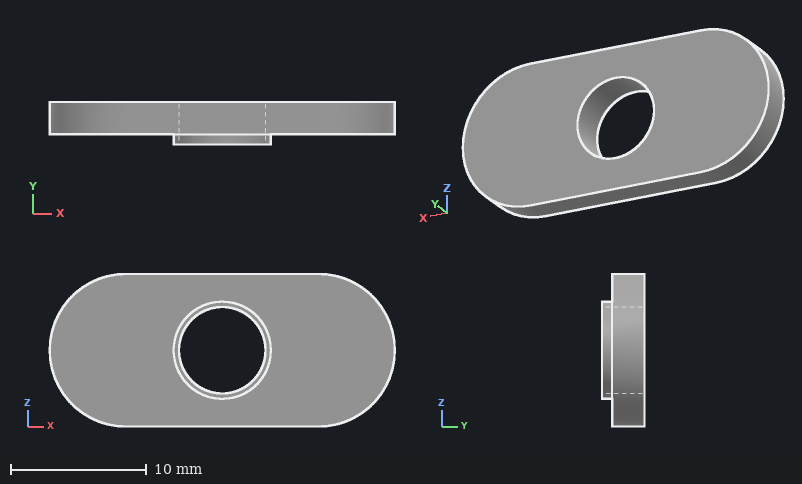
import cadquery as cq

plate_length = 25.4
plate_height = 11.25
total_depth = 3.15
plate_thickness = 2.4

collar_diameter = 7.15
bore_diameter = 6.35
collar_height = total_depth - plate_thickness


def make_plate():
    """Plate with fully rounded ends; front face on Y = 0, body toward +Y."""
    return (
        cq.Workplane("XZ")
        .slot2D(plate_length, plate_height)
        .extrude(-plate_thickness)
    )


def add_collar(body):
    """Short round collar standing out of the front face toward -Y."""
    collar = cq.Workplane("XZ").circle(collar_diameter / 2).extrude(collar_height)
    return body.union(collar)


def cut_bore(body):
    """Round bore through the collar and the plate."""
    bore = (
        cq.Workplane("XZ", origin=(0, plate_thickness, 0))
        .circle(bore_diameter / 2)
        .extrude(total_depth)
    )
    return body.cut(bore)


result = cut_bore(add_collar(make_plate()))